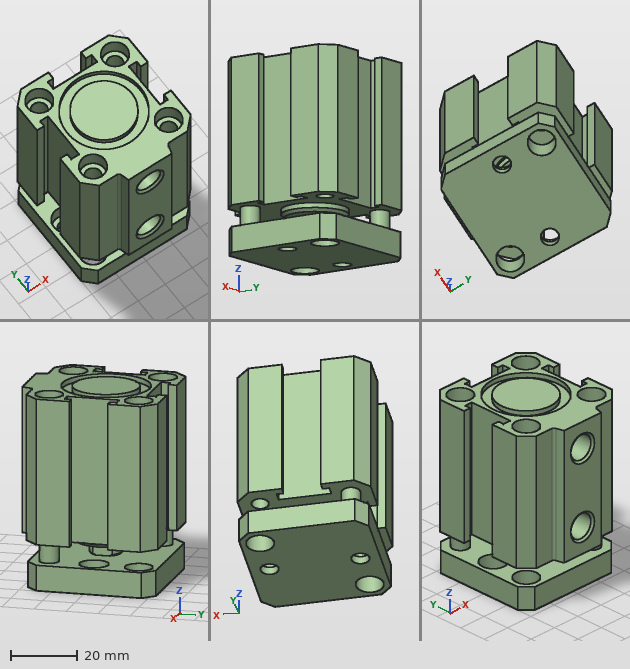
import cadquery as cq

total_height = 60.0
plate_thickness = 8.0
housing_gap = 6.55
housing_bottom = plate_thickness + housing_gap
housing_height = total_height - housing_bottom
housing_side = 41.0
housing_half = housing_side / 2
housing_chamfer = 4.25

boss_projection = 3.55
boss_tip = housing_half + boss_projection
boss_tip_half_width = 8.0
boss_root_half_width = 8.95
boss_root_fillet = 1.0

slot_depth = 5.5
slot_mouth_width = 12.0
slot_inner_width = 16.2
slot_lip = 2.65

port_diameter = 8.6
port_mouth_diameter = 10.15
port_chamfer = (port_mouth_diameter - port_diameter) / 2
port_depth = 12.0
port_end_distance = 9.2
port_heights = (housing_bottom + port_end_distance, total_height - port_end_distance)

hole_offset = 14.0
housing_hole_diameter = 5.3
housing_bore_diameter = 8.5
housing_bore_depth = 5.5

recess_diameter = 27.1
recess_depth = 1.6
disc_diameter = 20.5

collar_diameter = 20.5
collar_height = 2.5
collar_chamfer = 1.0

plate_side = 40.0
plate_chamfer = 3.6
plate_corner_hole_diameter = 8.5
plate_hole_diameter = 5.5
plate_bore_diameter = 9.0
plate_bore_depth = 5.4

guide_rod_diameter = 6.0
piston_rod_diameter = 10.0
piston_rod_flats = 8.0
piston_rod_chamfer = 0.5
flats_height = 3.1
rod_top = housing_bottom + housing_height / 2

guide_rod_points = [(-hole_offset, hole_offset), (hole_offset, -hole_offset)]
free_corner_points = [(hole_offset, hole_offset), (-hole_offset, -hole_offset)]
plate_side_points = [(-hole_offset, 0), (hole_offset, 0)]


def cylinder(diameter, bottom, top, points=((0, 0),)):
    """Upright cylinders between two heights, one at each point."""
    return (
        cq.Workplane("XY", origin=(0, 0, bottom))
        .pushPoints(points)
        .circle(diameter / 2)
        .extrude(top - bottom)
    )


def chamfered_block(side, chamfer, bottom, height):
    """Square block with its four upright corners chamfered."""
    block = cq.Workplane("XY", origin=(0, 0, bottom)).rect(side, side).extrude(height)
    return block.edges("|Z").chamfer(chamfer)


def port_boss():
    """Tapered boss on -Y; the fillets at its root are added after joining it to the housing."""
    return (
        cq.Workplane("XY", origin=(0, 0, housing_bottom))
        .polyline([
            (-boss_root_half_width, -housing_half),
            (-boss_tip_half_width, -boss_tip),
            (boss_tip_half_width, -boss_tip),
            (boss_root_half_width, -housing_half),
            (boss_root_half_width, 0),
            (-boss_root_half_width, 0),
        ])
        .close()
        .extrude(housing_height)
    )


def t_slot(angle):
    """T-slot cutter for the +Y side, turned about Z to the wanted side."""
    floor = housing_half - slot_depth
    inner_height = slot_depth - slot_lip
    base = cq.Workplane("XY", origin=(0, floor, housing_bottom))
    mouth = base.center(0, slot_depth / 2).rect(slot_mouth_width, slot_depth).extrude(housing_height)
    inner = (
        cq.Workplane("XY", origin=(0, floor + inner_height / 2, housing_bottom))
        .rect(slot_inner_width, inner_height)
        .extrude(housing_height)
    )
    return mouth.union(inner).rotate((0, 0, 0), (0, 0, 1), angle)


def air_port(height):
    """Blind port drilled from the boss face toward +Y, chamfered at its mouth."""
    radius = port_diameter / 2
    mouth_radius = port_mouth_diameter / 2
    return (
        cq.Workplane("XY", origin=(0, -boss_tip, height))
        .polyline([
            (0, 0),
            (mouth_radius, 0),
            (radius, port_chamfer),
            (radius, port_depth),
            (0, port_depth),
        ])
        .close()
        .revolve(360, (0, 0), (0, 1))
    )


def piston_rod():
    """Rod with a chamfered lower end and two wrench flats facing -X and +X."""
    rod = cylinder(piston_rod_diameter, plate_thickness, rod_top)
    rod = rod.faces("<Z").edges().chamfer(piston_rod_chamfer)
    flat_cut = (piston_rod_diameter - piston_rod_flats) / 2
    for side in (-1, 1):
        flat = cq.Workplane("XY").box(
            flat_cut, piston_rod_diameter, flats_height, centered=(True, True, False)
        )
        x = side * (piston_rod_flats + flat_cut) / 2
        rod = rod.cut(flat.translate((x, 0, plate_thickness)))
    return rod


def make_housing():
    """Cylinder housing: slotted block with its boss, ports, holes, end cap and collar."""
    body = chamfered_block(housing_side, housing_chamfer, housing_bottom, housing_height)
    body = body.union(port_boss())
    for side in (-1, 1):
        root = (side * boss_root_half_width, -housing_half, housing_bottom + housing_height / 2)
        body = body.edges(cq.selectors.NearestToPointSelector(root)).fillet(boss_root_fillet)

    for angle in (0, 90, -90):
        body = body.cut(t_slot(angle))
    for height in port_heights:
        body = body.cut(air_port(height))

    corners = guide_rod_points + free_corner_points
    body = body.cut(cylinder(housing_hole_diameter, housing_bottom, total_height, corners))
    body = body.cut(cylinder(housing_bore_diameter, total_height - housing_bore_depth, total_height, corners))

    recess_floor = total_height - recess_depth
    body = body.cut(cylinder(recess_diameter, recess_floor, total_height))
    body = body.union(cylinder(disc_diameter, recess_floor, total_height))

    collar_bottom = housing_bottom - collar_height
    collar = cylinder(collar_diameter, collar_bottom, housing_bottom)
    body = body.union(collar.faces("<Z").edges().chamfer(collar_chamfer))
    body = body.cut(cylinder(guide_rod_diameter, housing_bottom, rod_top, guide_rod_points))
    return body.cut(cylinder(piston_rod_diameter, collar_bottom, rod_top))


def make_moving_plate():
    """End plate carrying two guide rods and the piston rod, as one body."""
    body = chamfered_block(plate_side, plate_chamfer, 0, plate_thickness)
    body = body.cut(cylinder(plate_corner_hole_diameter, 0, plate_thickness, free_corner_points))
    body = body.cut(cylinder(plate_hole_diameter, 0, plate_thickness, plate_side_points))
    bore_floor = plate_thickness - plate_bore_depth
    body = body.cut(cylinder(plate_bore_diameter, bore_floor, plate_thickness, plate_side_points))
    body = body.union(cylinder(guide_rod_diameter, plate_thickness, rod_top, guide_rod_points))
    return body.union(piston_rod())


housing = make_housing()
moving_plate = make_moving_plate()

result = cq.Compound.makeCompound([housing.val(), moving_plate.val()])